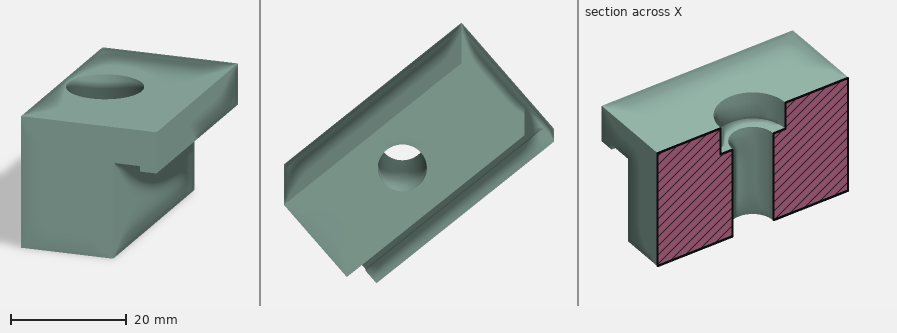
import cadquery as cq

width = 25.0
length = 40.0
height = 24.0

body_width = 17.0
arm_thickness = 6.5
lip_width = 3.0
lip_drop = 1.0

hole_x = 8.0
hole_diameter = 8.5
counterbore_diameter = 13.5
counterbore_depth = 5.5

arm_bottom = height - arm_thickness
lip_bottom = arm_bottom - lip_drop
lip_start = width - lip_width

profile = [
    (0, 0),
    (body_width, 0),
    (body_width, arm_bottom),
    (lip_start, arm_bottom),
    (lip_start, lip_bottom),
    (width, lip_bottom),
    (width, height),
    (0, height),
]
clamp = cq.Workplane("XZ").polyline(profile).close().extrude(-length)

result = (
    clamp.faces(">Z")
    .workplane(origin=(hole_x, length / 2, height))
    .cboreHole(hole_diameter, counterbore_diameter, counterbore_depth)
)